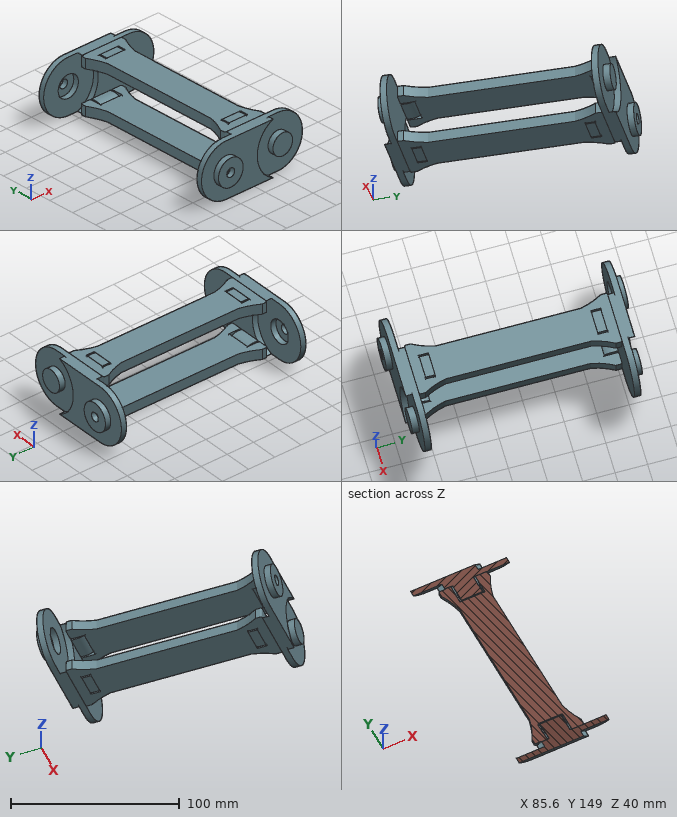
import cadquery as cq
import math

half_length = 74.5
plate_radius = 20.0
pivot_offset = 22.8

layer = 4.0
boss_radius = 10.0
boss_height = layer
bore_radius = 3.1
pin_radius = 7.9
pin_height = 4.3
socket_radius = 8.2
socket_depth = layer
relief_radius = 21.9
relief_shift = 1.5

outer_face = half_length - boss_height
step_face = outer_face - layer
inner_face = step_face - layer

bar_thickness = 7.3
bar_end_width = 32.8
bar_mid_width = 22.2
bar_corner = 1.0
flare_start = 58.5
flare_end = 44.7
flare_sag = 0.6
bar_inner_z = plate_radius - bar_thickness

tab_tip_width = 13.7
tab_root_width = 15.3
side_gap = 1.0
bend_start = 59.2
bend_outer_radius = 9.4
bend_inner_radius = 3.9
bend_centre_z = bar_inner_z + bend_outer_radius


def bend_end_angle(radius):
    """Angle a bend arc turns through before it meets the outer face of the bar."""
    return math.acos((bend_centre_z - plate_radius) / radius)


def bend_point(radius, angle):
    """Point (Y, Z) on a bend arc, turned outward from its flat start."""
    return (bend_start - radius * math.sin(angle), bend_centre_z - radius * math.cos(angle))


def disc(x, radius, y_start, y_end):
    """Cylinder along Y between two Y positions, at height zero."""
    return (
        cq.Workplane("XZ", origin=(x, y_start, 0))
        .circle(radius)
        .extrude(y_start - y_end)
    )


def tapered(profile, gap):
    """Solid of a YZ profile, with sides that taper along Z and lie a gap outside the tab's."""
    root_x = tab_root_width / 2 + gap
    tip_x = tab_tip_width / 2 + gap
    taper = (
        cq.Workplane("XZ")
        .polyline(
            [
                (-root_x, bar_inner_z),
                (root_x, bar_inner_z),
                (tip_x, plate_radius),
                (-tip_x, plate_radius),
            ]
        )
        .close()
        .extrude(-inner_face)
    )
    return profile.extrude(root_x, both=True).intersect(taper)


def close_under_bend(profile):
    """Finish a profile along the underside of the bend and back to the link."""
    end_angle = bend_end_angle(bend_inner_radius)
    return (
        profile.lineTo(*bend_point(bend_inner_radius, end_angle))
        .threePointArc(bend_point(bend_inner_radius, end_angle / 2), bend_point(bend_inner_radius, 0))
        .lineTo(inner_face, bend_centre_z - bend_inner_radius)
        .close()
    )


def make_tab():
    """Tab that leaves the link flush with the bar and bends outward through it."""
    end_angle = bend_end_angle(bend_outer_radius)
    profile = (
        cq.Workplane("YZ")
        .moveTo(inner_face, bar_inner_z)
        .lineTo(bend_start, bar_inner_z)
        .threePointArc(
            bend_point(bend_outer_radius, end_angle / 2), bend_point(bend_outer_radius, end_angle)
        )
    )
    return tapered(close_under_bend(profile), 0)


def make_slot():
    """Cutter for the slot that holds the tab and opens away from its bend on the inner face."""
    wall_end, outer_z = bend_point(bend_outer_radius, bend_end_angle(bend_outer_radius))
    wall_radius = bend_start - wall_end
    lip_angle = math.asin(bar_thickness / wall_radius)
    lip_y = bend_start - wall_radius * math.cos(lip_angle)
    wall_mid = (
        bend_start - wall_radius * math.cos(lip_angle / 2),
        outer_z - wall_radius * math.sin(lip_angle / 2),
    )
    profile = (
        cq.Workplane("YZ")
        .moveTo(inner_face, bar_inner_z)
        .lineTo(lip_y, bar_inner_z)
        .threePointArc(wall_mid, (wall_end, outer_z))
    )
    return tapered(close_under_bend(profile), side_gap)


def make_plate_layer(y_start, y_end, relief_x):
    """One layer of a link: a rounded strip cut away by the round shoulder."""
    strip = (
        cq.Workplane("XZ", origin=(0, y_start, 0))
        .slot2D(2 * (pivot_offset + plate_radius), 2 * plate_radius)
        .extrude(y_start - y_end)
    )
    beyond = (
        cq.Workplane("XY")
        .box(2 * plate_radius, y_end - y_start, 2 * plate_radius)
        .translate((relief_x + math.copysign(plate_radius, relief_x), (y_start + y_end) / 2, 0))
    )
    return strip.cut(disc(relief_x, relief_radius, y_start, y_end)).cut(beyond)


def make_link():
    """Link at the +Y end, with its boss, socket, pin and two tabs."""
    relief_x = pivot_offset + relief_shift
    link = make_plate_layer(step_face, outer_face, relief_x)
    link = link.union(make_plate_layer(inner_face, step_face, -relief_x))
    link = link.union(disc(-pivot_offset, boss_radius, outer_face, half_length))
    link = link.union(disc(pivot_offset, pin_radius, step_face, step_face + pin_height))
    link = link.cut(disc(-pivot_offset, socket_radius, step_face, step_face + socket_depth))
    link = link.cut(disc(-pivot_offset, bore_radius, step_face, half_length))
    tab = make_tab()
    return link.union(tab).union(tab.mirror("XY"))


def make_bar():
    """Upper bar with flared ends and a slot at each end."""
    end_x = bar_end_width / 2
    mid_x = bar_mid_width / 2
    chord = math.hypot(end_x - mid_x, flare_start - flare_end)
    bow_x = (end_x + mid_x) / 2 - flare_sag * (flare_start - flare_end) / chord
    bow_y = (flare_start + flare_end) / 2 + flare_sag * (end_x - mid_x) / chord
    quarter = (
        cq.Workplane("XY", origin=(0, 0, bar_inner_z))
        .lineTo(mid_x, 0)
        .lineTo(mid_x, flare_end)
        .threePointArc((bow_x, bow_y), (end_x, flare_start))
        .lineTo(end_x, inner_face)
        .lineTo(0, inner_face)
        .close()
        .extrude(bar_thickness)
        .edges("|Z and >X and >Y")
        .fillet(bar_corner)
    )
    half = quarter.union(quarter.mirror("YZ")).cut(make_slot())
    return half.union(half.mirror("XZ")).clean()


link = make_link()
bar = make_bar()
links = [link, link.mirror("XZ")]
bars = [bar, bar.mirror("XY")]

result = cq.Compound.makeCompound([body.val() for body in links + bars])